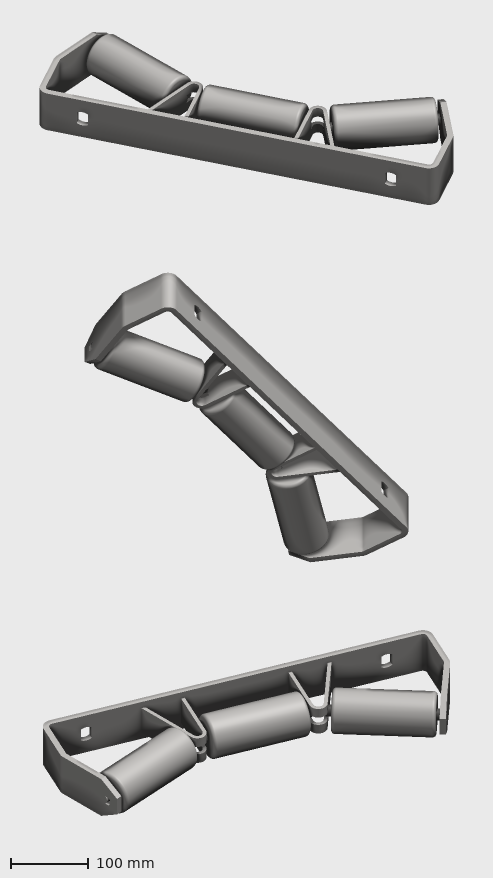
import cadquery as cq
import math


frame_length = 540.0
frame_depth = 165.0
frame_height = 60.0
frame_thickness = 8.0
frame_bend_inner = 6.0
arm_bend_y = 75.0
trough_angle = 25.0

tip_chamfer_along = 28.0
tip_chamfer_across = 17.5

mount_slot_width = 15.0
mount_slot_height = 21.5
mount_slot_rise = 2.0
mount_slot_x = 208.5

bracket_height = 40.0
bracket_thickness = 5.0
bracket_bend_inner = 7.0
bracket_face_x = 72.0
bracket_top_y = 94.5

roller_diameter = 60.0
roller_length = 135.5
roller_edge_radius = 5.0
shaft_diameter = 15.0
shaft_flats = 12.0
shaft_drop = 11.5
shaft_shoulder_gap = 1.5
arm_slot_play = 6.0

lean = math.radians(trough_angle)
side_axis = (math.cos(lean), math.sin(lean))
side_up = (-math.sin(lean), math.cos(lean))


def shift(point, direction, distance):
    """Point moved by a distance along a unit direction."""
    return (point[0] + direction[0] * distance, point[1] + direction[1] * distance)


half_length = frame_length / 2
frame_bend_outer = frame_bend_inner + frame_thickness
arm_corner = (half_length, arm_bend_y)
arm_length = (frame_depth - arm_bend_y) / math.cos(lean)
arm_tip = shift(arm_corner, side_up, arm_length)
arm_tip_inner = shift(arm_tip, side_axis, -frame_thickness)
arm_corner_inner = (
    half_length - frame_thickness,
    arm_bend_y - frame_thickness * math.tan(lean / 2),
)

bracket_bend_outer = bracket_bend_inner + bracket_thickness
bend_center = (bracket_face_x + bracket_bend_outer, bracket_top_y - bracket_bend_outer)

middle_roller_y = bend_center[1] - shaft_drop
bracket_seat = shift(shift(bend_center, side_axis, bracket_bend_outer), side_up, -shaft_drop)
seat_to_arm = (
    (arm_tip[0] - bracket_seat[0]) * side_axis[0] + (arm_tip[1] - bracket_seat[1]) * side_axis[1]
)
side_span = seat_to_arm - frame_thickness
side_roller_center = shift(bracket_seat, side_axis, side_span / 2)

middle_plane = cq.Plane(origin=(0, middle_roller_y, 0), xDir=(0, 1, 0), normal=(1, 0, 0))
side_plane = cq.Plane(
    origin=(*side_roller_center, 0), xDir=(*side_up, 0), normal=(*side_axis, 0)
)


def flatted_prism(plane, start, end, play=0.0):
    """Shaft end between two stations on the axis: a circle cut by two flats.

    Play stretches the shape along the strip, which makes it a shaft slot.
    """
    half_flat = shaft_flats / 2
    radius = shaft_diameter / 2
    shoulder = math.sqrt(radius**2 - half_flat**2)
    return (
        cq.Workplane(plane)
        .workplane(offset=start)
        .moveTo(-shoulder, -half_flat)
        .lineTo(shoulder + play, -half_flat)
        .threePointArc((radius + play, 0), (shoulder + play, half_flat))
        .lineTo(-shoulder, half_flat)
        .threePointArc((-radius, 0), (-shoulder, -half_flat))
        .close()
        .extrude(end - start)
    )


def both_sides(shape):
    """The +X shape and its mirror image on the -X side."""
    return [shape, shape.mirror("YZ")]


def make_frame():
    right_side = [
        (half_length, 0),
        arm_corner,
        arm_tip,
        arm_tip_inner,
        arm_corner_inner,
        (half_length - frame_thickness, frame_thickness),
    ]
    left_side = [(-x, y) for x, y in reversed(right_side)]
    frame = (
        cq.Workplane("XY")
        .polyline(right_side + left_side)
        .close()
        .extrude(frame_height / 2, both=True)
    )

    bends = [
        (right_side[0], frame_bend_outer),
        (right_side[1], frame_bend_outer),
        (right_side[4], frame_bend_inner),
        (right_side[5], frame_bend_inner),
    ]
    for (x, y), radius in bends:
        for side in (1, -1):
            bend_edge = cq.selectors.NearestToPointSelector((side * x, y, 0))
            frame = frame.edges(bend_edge).fillet(radius)

    for tip_corner in both_sides(make_tip_corners()):
        frame = frame.cut(tip_corner)
    for slot in both_sides(make_arm_slot()) + both_sides(make_mount_slot()):
        frame = frame.cut(slot)
    return frame


def make_tip_corners():
    """Two wedges that cut the corners off an arm tip."""
    arm_plane = cq.Plane(origin=(*arm_tip, 0), xDir=(*side_up, 0), normal=(*side_axis, 0))
    half_height = frame_height / 2
    wedge = (
        cq.Workplane(arm_plane)
        .polyline([
            (-tip_chamfer_along, half_height),
            (0, half_height - tip_chamfer_across),
            (0, half_height),
        ])
        .close()
        .extrude(-frame_thickness)
    )
    return wedge.union(wedge.mirror("XY"))


def make_arm_slot():
    return flatted_prism(side_plane, side_span / 2, side_span / 2 + frame_thickness, arm_slot_play)


def make_mount_slot():
    """Upright slot through the frame back, with shallow arcs at both ends."""
    half_width = mount_slot_width / 2
    half_height = mount_slot_height / 2
    side_top = half_height - mount_slot_rise
    slot = (
        cq.Workplane("XZ")
        .moveTo(half_width, -side_top)
        .lineTo(half_width, side_top)
        .threePointArc((0, half_height), (-half_width, side_top))
        .lineTo(-half_width, -side_top)
        .threePointArc((0, -half_height), (half_width, -side_top))
        .close()
        .extrude(-frame_thickness)
    )
    return slot.translate((mount_slot_x, 0, 0))


def make_bracket():
    """Hairpin strip: an upright leg, a round bend and a leaning leg."""
    bend_middle = (math.sin(lean / 2), math.cos(lean / 2))

    def foot_x(radius):
        tangent = shift(bend_center, side_axis, radius)
        return tangent[0] + (tangent[1] - frame_thickness) * math.tan(lean)

    outer, inner = bracket_bend_outer, bracket_bend_inner
    bracket = (
        cq.Workplane("XY")
        .moveTo(bend_center[0] - outer, frame_thickness)
        .lineTo(bend_center[0] - outer, bend_center[1])
        .threePointArc(shift(bend_center, bend_middle, outer), shift(bend_center, side_axis, outer))
        .lineTo(foot_x(outer), frame_thickness)
        .lineTo(foot_x(inner), frame_thickness)
        .lineTo(*shift(bend_center, side_axis, inner))
        .threePointArc(
            shift(bend_center, bend_middle, inner), (bend_center[0] - inner, bend_center[1])
        )
        .lineTo(bend_center[0] - inner, frame_thickness)
        .close()
        .extrude(bracket_height / 2, both=True)
    )
    middle_seat = flatted_prism(
        middle_plane, bracket_face_x, bracket_face_x + bracket_thickness
    )
    side_seat = flatted_prism(side_plane, -side_span / 2 - bracket_thickness, -side_span / 2)
    return bracket.cut(make_bend_slot()).cut(middle_seat).cut(side_seat)


def make_bend_slot():
    """Slot over the bend, from one shaft seat to the other."""
    return (
        cq.Workplane("XY")
        .polyline([
            (bracket_face_x, middle_roller_y),
            (bracket_face_x, bracket_top_y),
            shift(bracket_seat, side_up, shaft_drop + bracket_bend_outer),
            bracket_seat,
        ])
        .close()
        .extrude(shaft_flats / 2, both=True)
    )


def make_roller(plane, span, start_strip, end_strip):
    """Roller on its shaft, whose flatted ends fill the strips on either side.

    Span is the clear width between the strips; the strip values are their
    thicknesses at the start and end of the axis.
    """
    barrel = (
        cq.Workplane(plane)
        .workplane(offset=-roller_length / 2)
        .circle(roller_diameter / 2)
        .extrude(roller_length)
        .edges()
        .fillet(roller_edge_radius)
    )
    round_length = span - 2 * shaft_shoulder_gap
    shaft = (
        cq.Workplane(plane)
        .workplane(offset=-round_length / 2)
        .circle(shaft_diameter / 2)
        .extrude(round_length)
    )
    shaft_ends = flatted_prism(plane, -span / 2 - start_strip, span / 2 + end_strip)
    return barrel.union(shaft).union(shaft_ends)


frame = make_frame()
brackets = both_sides(make_bracket())
middle_roller = make_roller(middle_plane, 2 * bracket_face_x, bracket_thickness, bracket_thickness)
side_rollers = both_sides(make_roller(side_plane, side_span, bracket_thickness, frame_thickness))
rollers = [middle_roller] + side_rollers

result = cq.Compound.makeCompound([body.val() for body in [frame] + brackets + rollers])